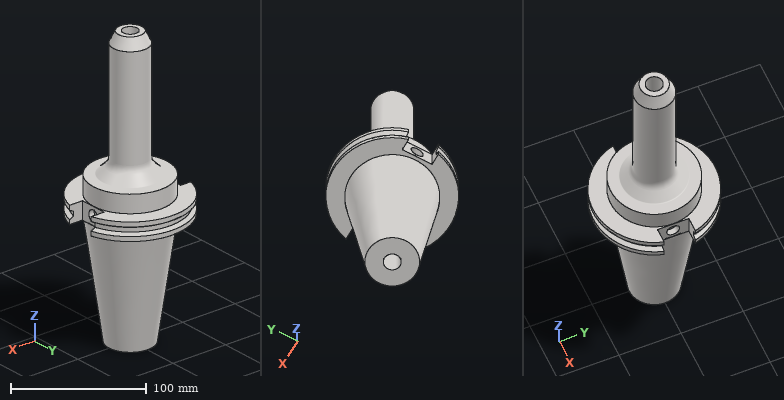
import cadquery as cq
import math

total_height = 254.0
gauge_height = 101.5
flange_bottom = 104.6
flange_top = 120.6
collar_top = 136.7
flange_middle = (flange_bottom + flange_top) / 2

gauge_radius = 35.0
taper_ratio = 7 / 24
small_end_radius = gauge_radius - gauge_height * taper_ratio / 2

flange_diameter = 98.3
flange_radius = flange_diameter / 2
groove_depth = 3.5
groove_floor_width = 3.8
groove_side_angle = math.radians(30)
groove_mouth_width = groove_floor_width + 2 * groove_depth * math.tan(groove_side_angle)

slot_width = 25.1
left_slot_floor = 37.8
right_slot_floor = 35.3
slot_hole_diameter = 10.2
slot_hole_depth = 5.0

nose_radius = 16.0
tip_radius = 11.2
tip_length = 10.0
neck_fillet = 9.7
foot_fillet = 1.5
foot_radius = 26.0
foot_height = foot_radius - nose_radius
bore_diameter = 13.2


def turned_body():
    """Revolve the taper, flange, collar and nose as one solid of rotation."""
    diagonal = math.sqrt(0.5)
    corner_setback = math.tan(math.pi / 8)

    foot_setback = foot_fillet * corner_setback
    foot_outer = (foot_radius + foot_setback, collar_top)
    foot_inner = (foot_radius - foot_setback * diagonal, collar_top + foot_setback * diagonal)
    foot_center = (foot_outer[0], collar_top + foot_fillet)

    neck_setback = neck_fillet * corner_setback
    neck_corner_z = collar_top + foot_height
    neck_lower = (nose_radius + neck_setback * diagonal, neck_corner_z - neck_setback * diagonal)
    neck_upper = (nose_radius, neck_corner_z + neck_setback)
    neck_center = (nose_radius + neck_fillet, neck_upper[1])

    def arc_middle(center, radius, degrees):
        angle = math.radians(degrees)
        return (center[0] + radius * math.cos(angle), center[1] + radius * math.sin(angle))

    profile = (
        cq.Workplane("XZ")
        .lineTo(small_end_radius, 0)
        .lineTo(gauge_radius, gauge_height)
        .lineTo(gauge_radius, flange_bottom)
        .lineTo(flange_radius, flange_bottom)
        .lineTo(flange_radius, flange_middle - groove_mouth_width / 2)
        .lineTo(flange_radius - groove_depth, flange_middle - groove_floor_width / 2)
        .lineTo(flange_radius - groove_depth, flange_middle + groove_floor_width / 2)
        .lineTo(flange_radius, flange_middle + groove_mouth_width / 2)
        .lineTo(flange_radius, flange_top)
        .lineTo(gauge_radius, flange_top)
        .lineTo(gauge_radius, collar_top)
        .lineTo(*foot_outer)
        .threePointArc(arc_middle(foot_center, foot_fillet, 247.5), foot_inner)
        .lineTo(*neck_lower)
        .threePointArc(arc_middle(neck_center, neck_fillet, 202.5), neck_upper)
        .lineTo(nose_radius, total_height - tip_length)
        .lineTo(tip_radius, total_height)
        .lineTo(0, total_height)
        .close()
    )
    return profile.revolve(360, (0, 0), (0, 1))


def drive_slot(side, floor):
    """Slot through the flange with a blind hole in its floor; side is -1 or 1."""
    slot_length = flange_radius
    slot = cq.Workplane("XY").box(slot_length, slot_width, flange_top - flange_bottom)
    slot = slot.translate((side * (floor + slot_length / 2), 0, flange_middle))
    hole = (
        cq.Workplane("YZ", origin=(side * floor, 0, flange_middle))
        .circle(slot_hole_diameter / 2)
        .extrude(-side * slot_hole_depth)
    )
    return slot.union(hole)


bore = cq.Workplane("XY").circle(bore_diameter / 2).extrude(total_height)

result = (
    turned_body()
    .cut(bore)
    .cut(drive_slot(-1, left_slot_floor))
    .cut(drive_slot(1, right_slot_floor))
)